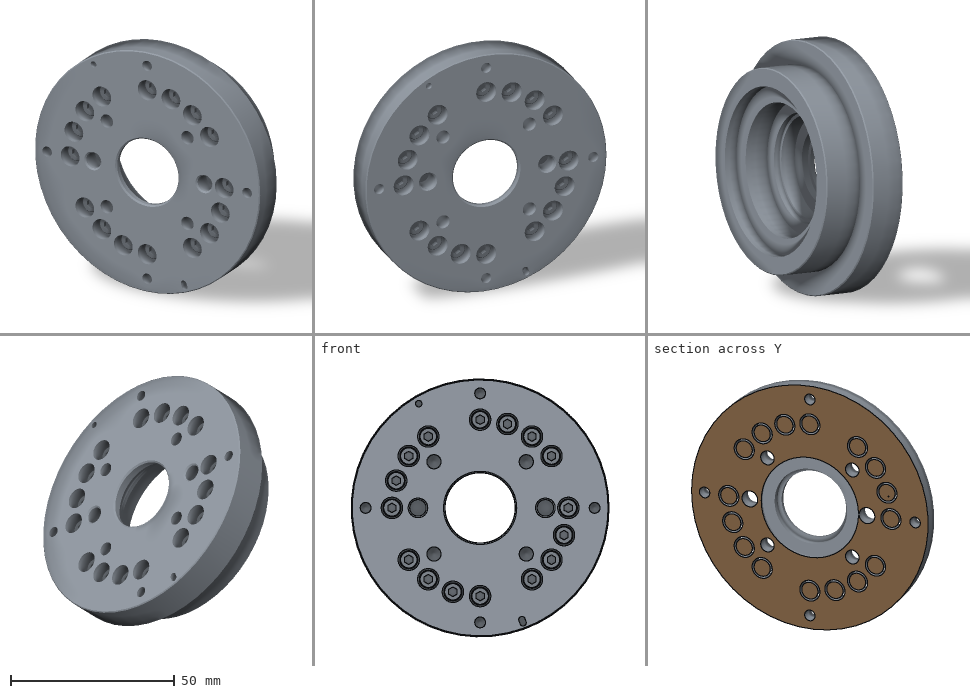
import cadquery as cq
import math

total_depth = 23.0
flange_radius = 39.5
flange_depth = 11.0
collar_radius = 32.0
edge_chamfer = 0.3

bore_radius = 10.75
bore_depth = 1.8
bore_chamfer = 0.5
bore_steps = [
    (12.1, 4.1),
    (16.1, 9.0),
    (17.15, flange_depth),
    (21.0, 18.8),
    (26.3, total_depth),
]

screw_circle = 27.0
screw_places = 20
screw_pitch = 360 / screw_places
first_empty_place = 1
places_between_empty = 5
counterbore_diameter = 6.55
counterbore_depth = 6.5
head_radius = 2.8
head_height = 3.0
head_chamfer = 0.2
socket_width = 2.5
socket_depth = 1.5

drill_tip_angle = 118
inner_drill_circle = 20.0
inner_drill_diameter = 4.35
inner_drill_depth = 7.9
outer_drill_circle = 35.1
outer_drill_diameter = 3.3
outer_drill_depth = 6.3

dowel_positions = (-19.0, 20.0)
dowel_radius = 2.5
dowel_chamfer = 0.5
dowel_depth = 6.0

locator_circle = 37.05
locator_width = 2.0
locator_depth = 3.95
locator_hole_angle = 120.5
locator_slot_angle = -69.5
locator_slot_length = 3.0


def on_circle(radius, angle):
    """X and Z of a point on a circle about the part axis."""
    turn = math.radians(angle)
    return radius * math.cos(turn), radius * math.sin(turn)


def cylinder(radius, start, end, x=0, z=0):
    """Cylinder along Y between two depths."""
    return cq.Workplane("XZ", origin=(x, start, z)).circle(radius).extrude(start - end)


def turned(profile, x=0, z=0):
    """Solid of revolution along Y from (radius, depth) points."""
    solid = cq.Workplane("XY").polyline(profile).close().revolve(360, (0, 0, 0), (0, 1, 0))
    return solid.translate((x, 0, z))


def chamfered_hole(radius, depth, chamfer, x=0, z=0):
    """Flat-bottomed hole with a chamfered mouth."""
    mouth = radius + chamfer
    return turned([(0, 0), (mouth, 0), (radius, chamfer), (radius, depth), (0, depth)], x, z)


def drilled_hole(diameter, depth, x, z):
    """Blind hole with a conical bottom below its full-diameter depth."""
    radius = diameter / 2
    tip = radius / math.tan(math.radians(drill_tip_angle / 2))
    return turned([(0, 0), (radius, 0), (radius, depth), (0, depth + tip)], x, z)


def screw_head(x, z):
    """Chamfered screw head with a hexagonal socket, standing on the counterbore floor."""
    top = counterbore_depth - head_height
    head = cylinder(head_radius, top, counterbore_depth).faces("<Y").edges().chamfer(head_chamfer)
    corner_diameter = socket_width / math.cos(math.radians(30))
    socket = cq.Workplane("XZ", origin=(0, top, 0)).polygon(6, corner_diameter).extrude(-socket_depth)
    socket = socket.rotate((0, 0, 0), (0, 1, 0), 30)
    return head.cut(socket).translate((x, 0, z))


body = cylinder(flange_radius, 0, flange_depth).edges().chamfer(edge_chamfer)
collar = cylinder(collar_radius, flange_depth, total_depth).faces(">Y").edges().chamfer(edge_chamfer)
body = body.union(collar)

body = body.cut(chamfered_hole(bore_radius, bore_depth, bore_chamfer))
step_start = bore_depth
for step_radius, step_end in bore_steps:
    body = body.cut(cylinder(step_radius, step_start, step_end))
    step_start = step_end

for place in range(screw_places):
    if place % places_between_empty == first_empty_place:
        continue
    x, z = on_circle(screw_circle, place * screw_pitch)
    body = body.cut(cylinder(counterbore_diameter / 2, 0, counterbore_depth, x, z))
    body = body.union(screw_head(x, z))

for quarter in (0, 90, 180, 270):
    x, z = on_circle(outer_drill_circle, quarter)
    body = body.cut(drilled_hole(outer_drill_diameter, outer_drill_depth, x, z))
    x, z = on_circle(inner_drill_circle, quarter + 45)
    body = body.cut(drilled_hole(inner_drill_diameter, inner_drill_depth, x, z))

for x in dowel_positions:
    body = body.cut(chamfered_hole(dowel_radius, dowel_depth, dowel_chamfer, x))

x, z = on_circle(locator_circle, locator_hole_angle)
body = body.cut(cylinder(locator_width / 2, 0, locator_depth, x, z))
x, z = on_circle(locator_circle, locator_slot_angle)
slot = cq.Workplane("XZ", origin=(x, 0, z)).slot2D(locator_slot_length, locator_width, locator_slot_angle)
body = body.cut(slot.extrude(-locator_depth))

result = body